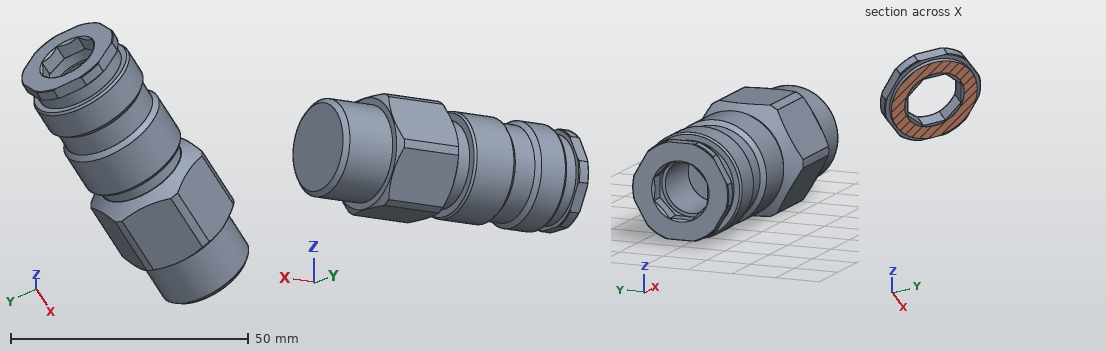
import cadquery as cq
import math

length = 61.5

collar_length = 2.5
collar_diameter = 22.0
collar_across_flats = 21.0
collar_chamfer = 0.2

sleeve_start = 5.8
sleeve_end = 29.35
sleeve_diameter = 23.0
sleeve_lip_diameter = 22.25
sleeve_lip_length = 0.55
groove_diameter = 21.0
groove_bottom_start = 13.4
groove_bottom_end = 18.4
groove_flank = 1.05

front_neck_diameter = 19.75
rear_neck_diameter = 19.0

hex_start = 32.5
hex_end = 49.55
hex_across_flats = 24.1
hex_corner_diameter = 26.8
hex_front_diameter = 19.3
hex_front_cone = 2.3
hex_rear_diameter = 23.85
hex_rear_cone = 1.0

spigot_diameter = 21.0
spigot_chamfer = 1.05

octagon_across_flats = 12.1
octagon_depth = 3.4
mouth_diameter = 13.15
chamber_diameter = 13.5
chamber_end = 6.0
seat_diameter = 12.0
seat_end = 18.45


def turned(profile):
    """Revolve (x, diameter) stations about the X axis."""
    outline = [(x, diameter / 2) for x, diameter in profile]
    start = (outline[0][0], 0)
    end = (outline[-1][0], 0)
    return cq.Workplane("XY").polyline([start, *outline, end]).close().revolve(360, (0, 0, 0), (1, 0, 0))


def prism(sides, across_flats, start, end, turn=0):
    """Regular prism along X; with no turn, one corner points along +Y."""
    corner_diameter = across_flats / math.cos(math.pi / sides)
    block = cq.Workplane("YZ").polygon(sides, corner_diameter).extrude(end - start)
    return block.rotate((0, 0, 0), (1, 0, 0), turn).translate((start, 0, 0))


def make_collar():
    end_diameter = collar_diameter - 2 * collar_chamfer
    blank = turned([
        (0, end_diameter),
        (collar_chamfer, collar_diameter),
        (collar_length - collar_chamfer, collar_diameter),
        (collar_length, end_diameter),
    ])
    return blank.intersect(prism(6, collar_across_flats, 0, collar_length))


def make_sleeve_and_necks():
    return turned([
        (collar_length, front_neck_diameter),
        (sleeve_start, front_neck_diameter),
        (sleeve_start, sleeve_lip_diameter),
        (sleeve_start + sleeve_lip_length, sleeve_diameter),
        (groove_bottom_start - groove_flank, sleeve_diameter),
        (groove_bottom_start, groove_diameter),
        (groove_bottom_end, groove_diameter),
        (groove_bottom_end + groove_flank, sleeve_diameter),
        (sleeve_end - sleeve_lip_length, sleeve_diameter),
        (sleeve_end, sleeve_lip_diameter),
        (sleeve_end, rear_neck_diameter),
        (hex_start, rear_neck_diameter),
    ])


def make_hexagon():
    blank = turned([
        (hex_start, hex_front_diameter),
        (hex_start + hex_front_cone, hex_corner_diameter),
        (hex_end - hex_rear_cone, hex_corner_diameter),
        (hex_end, hex_rear_diameter),
    ])
    return blank.intersect(prism(6, hex_across_flats, hex_start, hex_end))


def make_spigot():
    return turned([
        (hex_end, spigot_diameter),
        (length - spigot_chamfer, spigot_diameter),
        (length, spigot_diameter - 2 * spigot_chamfer),
    ])


def make_bore():
    countersink_depth = (mouth_diameter - seat_diameter) / 2
    mouth = turned([
        (0, mouth_diameter),
        (countersink_depth, seat_diameter),
    ])
    octagon = prism(8, octagon_across_flats, 0, octagon_depth, turn=22.5)
    inner = turned([
        (octagon_depth, chamber_diameter),
        (chamber_end, chamber_diameter),
        (chamber_end, seat_diameter),
        (seat_end, seat_diameter),
    ])
    return mouth.union(octagon).union(inner)


body = make_collar().union(make_sleeve_and_necks()).union(make_hexagon()).union(make_spigot())
result = body.cut(make_bore())